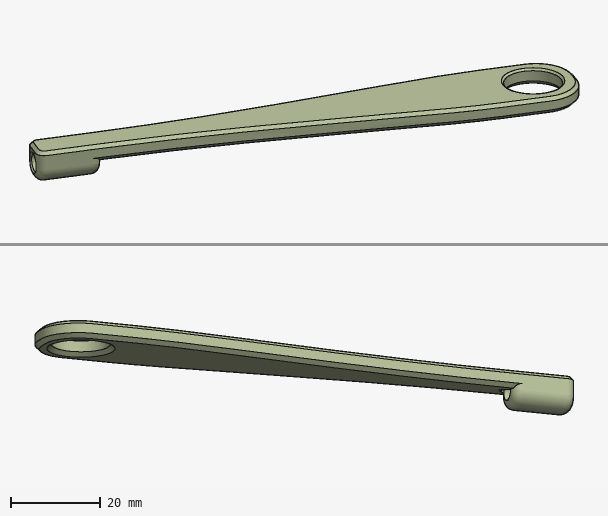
import cadquery as cq
import math

total_length = 127.5
eye_width = 20.0
stem_width = 8.0
plate_thickness = 4.0
total_height = 8.0
top_chamfer = 0.8
bottom_chamfer = 1.0

eye_hole_diameter = 13.2
eye_hole_top_chamfer = 0.5
eye_hole_bottom_chamfer = 1.0
eye_hole_inset = eye_width / 2
eye_corner_radius = 9.0
eye_side_end = 20.0

boss_length = 15.0
boss_bottom_radius = 3.5
stem_corner_radius = 2.0

socket_diameter = 4.1
socket_depth = boss_length
socket_chamfer = 0.4
socket_axis_z = -total_height / 2
drill_point_angle = 90.0

eye_handle = 20.0
stem_handle = 40.0

tip_y = eye_hole_inset
stem_y = tip_y - total_length
flare_top_y = tip_y - eye_side_end
flare_bottom_y = stem_y + boss_length
boss_top_z = -bottom_chamfer


def make_plate():
    """Flat arm with rounded corners, flared sides and chamfered rims."""
    eye_half = eye_width / 2
    stem_half = stem_width / 2
    right_flare = [
        (stem_half, flare_bottom_y),
        (stem_half, flare_bottom_y + stem_handle),
        (eye_half, flare_top_y - eye_handle),
        (eye_half, flare_top_y),
    ]
    left_flare = [(-x, y) for x, y in reversed(right_flare)]
    plate = (
        cq.Workplane("XY")
        .moveTo(-stem_half, stem_y)
        .lineTo(stem_half, stem_y)
        .lineTo(stem_half, flare_bottom_y)
        .bezier(right_flare)
        .lineTo(eye_half, tip_y)
        .lineTo(-eye_half, tip_y)
        .lineTo(-eye_half, flare_top_y)
        .bezier(left_flare)
        .close()
        .extrude(-plate_thickness)
    )
    plate = plate.edges("|Z and >Y").fillet(eye_corner_radius)
    plate = plate.edges("|Z and <Y").fillet(stem_corner_radius)
    plate = plate.faces("<Z").edges().chamfer(bottom_chamfer)
    return plate.faces(">Z").edges().chamfer(top_chamfer)


def make_boss():
    """Round-bottomed block under the stem with both ends rounded over."""
    boss_height = total_height + boss_top_z
    boss = (
        cq.Workplane("XY")
        .box(stem_width, boss_length, boss_height, centered=(True, False, False))
        .translate((0, stem_y, -total_height))
    )
    boss = boss.edges("|Y and <Z").fillet(boss_bottom_radius)
    return boss.faces("<Y or >Y").edges("not >Z").fillet(stem_corner_radius)


def make_eye_hole():
    """Through-hole cutter, widened by a chamfer at each face."""
    radius = eye_hole_diameter / 2
    profile = [
        (0, 0),
        (radius + eye_hole_top_chamfer, 0),
        (radius, -eye_hole_top_chamfer),
        (radius, eye_hole_bottom_chamfer - plate_thickness),
        (radius + eye_hole_bottom_chamfer, -plate_thickness),
        (0, -plate_thickness),
    ]
    return cq.Workplane("XZ").polyline(profile).close().revolve(360, (0, 0), (0, 1))


def make_socket():
    """Drilled-hole cutter along Y with a chamfered mouth and a conical tip."""
    radius = socket_diameter / 2
    point_length = radius / math.tan(math.radians(drill_point_angle / 2))
    profile = [
        (0, 0),
        (radius + socket_chamfer, 0),
        (radius, socket_chamfer),
        (radius, socket_depth),
        (0, socket_depth + point_length),
    ]
    cutter = cq.Workplane("XY").polyline(profile).close().revolve(360, (0, 0), (0, 1))
    return cutter.translate((0, stem_y, socket_axis_z))


result = make_plate().union(make_boss()).cut(make_eye_hole()).cut(make_socket())